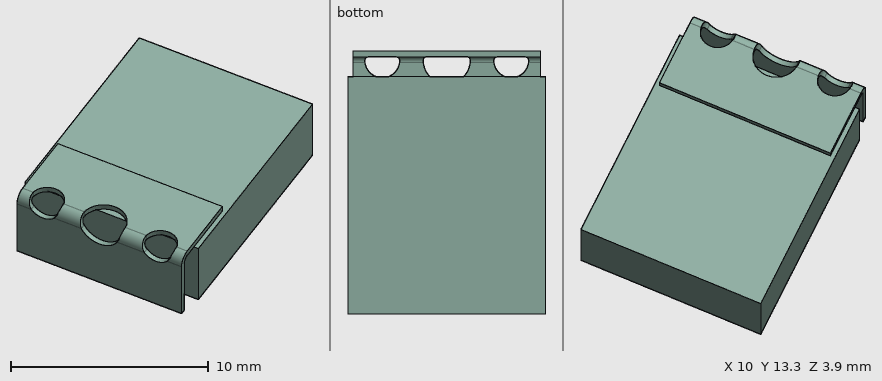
import cadquery as cq
import math

width = 10.0
depth = 13.3
height = 3.9

sheet = 0.3
shield_width = 9.5
shield_reach = 4.3
bend_outer = 0.6
bend_inner = bend_outer - sheet
bend_neutral = bend_outer - sheet / 2
bend_length = bend_neutral * math.pi / 2
bend_axis_z = height - bend_outer

block_front = 1.3
block_height = height - sheet

side_hole_offset = 3.26
side_hole_diameter = 1.75
middle_hole_diameter = 2.37
hole_past_bend_start = 0.12
holes = [
    (-side_hole_offset, side_hole_diameter),
    (0.0, middle_hole_diameter),
    (side_hole_offset, side_hole_diameter),
]
bend_sections = 9
cut_margin = 0.13


def make_block():
    size_y = depth - block_front
    block = cq.Workplane("XY").box(width, size_y, block_height, centered=(True, False, False))
    return block.translate((0, block_front, 0))


def make_shield():
    """L-shaped sheet, drawn as a YZ profile and extruded across X."""
    mid = math.sqrt(0.5)
    outer_mid = (bend_outer * (1 - mid), bend_axis_z + bend_outer * mid)
    inner_mid = (bend_outer - bend_inner * mid, bend_axis_z + bend_inner * mid)
    return (
        cq.Workplane("YZ")
        .moveTo(0, 0)
        .lineTo(0, bend_axis_z)
        .threePointArc(outer_mid, (bend_outer, height))
        .lineTo(shield_reach, height)
        .lineTo(shield_reach, block_height)
        .lineTo(bend_outer, block_height)
        .threePointArc(inner_mid, (sheet, bend_axis_z))
        .lineTo(sheet, 0)
        .close()
        .extrude(shield_width / 2, both=True)
    )


def bend_section(x_centre, radius, angle):
    """Radial slice of a hole at an angle round the bend (0 at the flat top)."""
    past_centre = bend_neutral * angle - hole_past_bend_start
    half_width = math.sqrt(radius**2 - past_centre**2)
    near = bend_inner - cut_margin
    far = bend_outer + cut_margin
    corners = [(-half_width, near), (half_width, near), (half_width, far), (-half_width, far)]
    points = [
        cq.Vector(x_centre + x, bend_outer - r * math.sin(angle), bend_axis_z + r * math.cos(angle))
        for x, r in corners
    ]
    return cq.Wire.makePolygon(points, close=True)


def cut_hole(shield, x_centre, diameter):
    """Cut one round hole that runs from the flat top, round the bend, into the front wall."""
    radius = diameter / 2
    cutter_height = sheet + 2 * cut_margin

    top_disc = (
        cq.Workplane("XY", origin=(x_centre, bend_outer - hole_past_bend_start, block_height - cut_margin))
        .circle(radius)
        .extrude(cutter_height)
    )
    behind_bend = cq.Workplane("XY").box(width, depth, height + cutter_height, centered=(True, False, False))
    top_cut = top_disc.intersect(behind_bend.translate((0, bend_outer, 0)))

    quarter = math.pi / 2
    angles = [quarter * i / (bend_sections - 1) for i in range(bend_sections)]
    bend_cut = cq.Solid.makeLoft([bend_section(x_centre, radius, angle) for angle in angles])

    wall_centre_z = bend_axis_z + bend_length - hole_past_bend_start
    wall_disc = (
        cq.Workplane("XZ", origin=(x_centre, sheet + cut_margin, wall_centre_z))
        .circle(radius)
        .extrude(cutter_height)
    )
    below_bend = cq.Workplane("XY").box(width, depth, bend_axis_z, centered=(True, True, False))
    wall_cut = wall_disc.intersect(below_bend)

    return shield.cut(top_cut).cut(cq.Workplane(bend_cut)).cut(wall_cut)


shield = make_shield()
for hole_x, hole_diameter in holes:
    shield = cut_hole(shield, hole_x, hole_diameter)

result = make_block().union(shield)